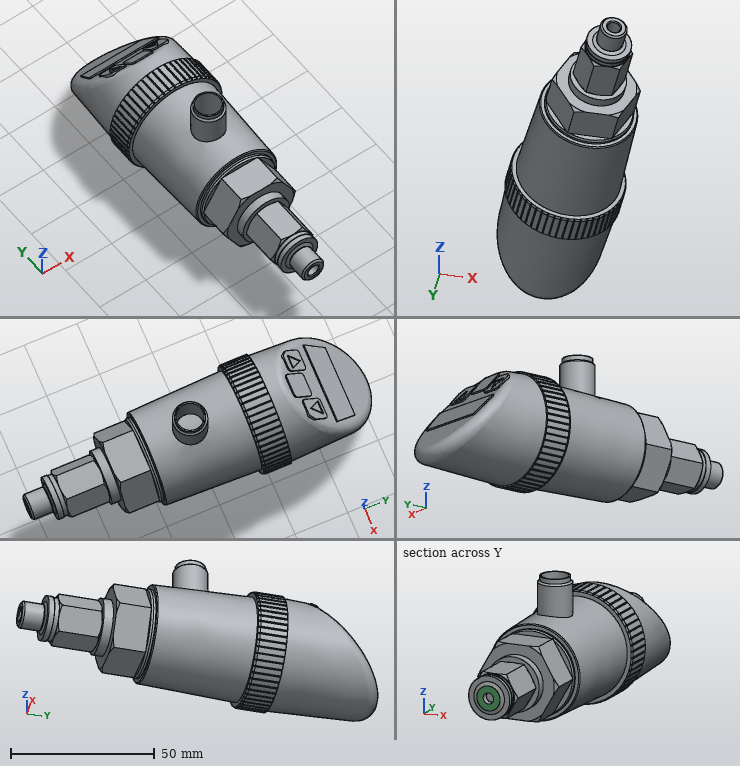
import cadquery as cq
import math

LENGTH = 128.7

STUD_RADIUS = 4.8
STUD_CHAMFER = 0.6
STUD_END = 7.6
UNDERCUT_RADIUS = 4.5
UNDERCUT_END = 8.0
PORT_MOUTH_RADIUS = 2.7
PORT_RADIUS = 2.3
PORT_STEP_DEPTH = 7.7
PORT_INNER_RADIUS = 1.9
PORT_DEPTH = 10.3

FLANGE_START = 8.5
FLANGE_ROOT_RADIUS = 5.9
FLANGE_RADIUS = 8.0
FLANGE_END = 10.5
RELIEF_RADIUS = 7.7
SMALL_HEX_START = 12.2
SMALL_HEX_FLATS = 16.0
SMALL_HEX_FACE_RADIUS = 8.0
SMALL_HEX_END = 27.8
COLLAR_RADIUS = 10.0
LARGE_HEX_START = 31.1
LARGE_HEX_FLATS = 27.3
LARGE_HEX_FACE_RADIUS = 14.3
LARGE_HEX_END = 43.4
HEX_CHAMFER_ANGLE = 30.0
WASHER_RADIUS = 15.8
WASHER_FACE_RADIUS = 15.5
WASHER_EDGE = 44.1

HOUSING_START = 44.9
HOUSING_START_RADIUS = 17.5
HOUSING_CHAMFER = 0.4

RING_START = 80.8
RING_END = 91.4
RING_RADIUS = 20.6
RING_CHAMFER_LENGTH = 0.8
RING_CHAMFER_DEPTH = 0.4
HOUSING_END_RADIUS = 18.7
GROOVE_COUNT = 54
GROOVE_WIDTH = 0.4
GROOVE_DEPTH = 0.4
WIDE_RIB_ANGLE = 8.0
GROOVE_PITCH = (360.0 - WIDE_RIB_ANGLE) / (GROOVE_COUNT - 1)

HEAD_START_RADIUS = 20.0
HEAD_TIP_RADIUS = 18.4
FACE_ANGLE = 47.2
FACE_FILLET = 3.3

HEAD_TAPER = (HEAD_START_RADIUS - HEAD_TIP_RADIUS) / (LENGTH - RING_END)
FACE_SLOPE = math.radians(FACE_ANGLE)
FACE_NORMAL = cq.Vector(0, math.sin(FACE_SLOPE), math.cos(FACE_SLOPE))
ALONG_FACE_NORMAL = cq.selectors.ParallelDirSelector(FACE_NORMAL)

TIP_CENTER_Y = LENGTH - FACE_FILLET
TIP_CENTER_DROP = HEAD_TIP_RADIUS + HEAD_TAPER * FACE_FILLET - FACE_FILLET * math.hypot(1, HEAD_TAPER)
FACE_AXIS_Y = TIP_CENTER_Y + (FACE_FILLET - TIP_CENTER_DROP * FACE_NORMAL.z) / FACE_NORMAL.y

PANEL_HEIGHT = 0.5
PANEL_ROOT = 1.9
WINDOW_TOP = 3.3
WINDOW_TOP_HALF_WIDTH = 13.3
WINDOW_BOTTOM = -7.5
WINDOW_BOTTOM_HALF_WIDTH = 15.0
MODE_WIDTH = 9.0
MODE_LENGTH = 9.5
MODE_CENTER = -19.5
ARROW_KEY_WIDTH = 7.9
ARROW_KEY_LENGTH = 9.4
ARROW_KEY_OFFSET = 9.5
ARROW_KEY_CENTER = -16.5
KEY_CORNER_RADIUS = 1.3
KEY_CUT_WIDTH = 1.7
KEY_CUT_LENGTH = 2.6
ARROW_OFFSET = 9.1
ARROW_HALF_WIDTH = 2.5
ARROW_LENGTH = 5.4
ARROW_SHIFT = 0.6
ARROW_CENTER = ARROW_KEY_CENTER + ARROW_SHIFT
ARROW_DEPTH = 0.4

CONNECTOR_Y = 61.6
CONNECTOR_RADIUS = 6.2
CONNECTOR_SHOULDER = 28.7
CONNECTOR_NECK_RADIUS = 5.4
CONNECTOR_NECK_START = 29.3
CONNECTOR_TOP = 31.0
CONNECTOR_BORE_RADIUS = 4.9


def revolve_about_y(points):
    """Turn (radius, y) points, closed along the axis, into a solid of revolution about Y."""
    outline = [(0, points[0][1])] + points + [(0, points[-1][1])]
    return cq.Workplane("XY").polyline(outline).close().revolve(360, (0, 0, 0), (0, 1, 0))


def hexagon(flats, start, end, face_radius, chamfer_both_ends):
    """Hexagonal prism along Y with two flats facing up and down and chamfered corners."""
    corner_radius = flats / math.sqrt(3)
    chamfer = (corner_radius - face_radius) * math.tan(math.radians(HEX_CHAMFER_ANGLE))
    prism = (
        cq.Workplane("XZ", origin=(0, start, 0))
        .polygon(6, 2 * corner_radius)
        .extrude(start - end)
    )
    envelope = [(face_radius, start), (corner_radius, start + chamfer)]
    if chamfer_both_ends:
        envelope += [(corner_radius, end - chamfer), (face_radius, end)]
    else:
        envelope += [(corner_radius, end)]
    return prism.intersect(revolve_about_y(envelope))


def make_fitting():
    stud = revolve_about_y([
        (STUD_RADIUS - STUD_CHAMFER, 0),
        (STUD_RADIUS, STUD_CHAMFER),
        (STUD_RADIUS, STUD_END),
        (UNDERCUT_RADIUS, UNDERCUT_END),
        (FLANGE_ROOT_RADIUS, FLANGE_START),
        (FLANGE_RADIUS, FLANGE_START),
        (FLANGE_RADIUS, FLANGE_END),
        (RELIEF_RADIUS, FLANGE_END),
        (RELIEF_RADIUS, SMALL_HEX_START),
    ])
    collar = revolve_about_y([(COLLAR_RADIUS, SMALL_HEX_END), (COLLAR_RADIUS, LARGE_HEX_START)])
    small_hex = hexagon(SMALL_HEX_FLATS, SMALL_HEX_START, SMALL_HEX_END, SMALL_HEX_FACE_RADIUS, True)
    large_hex = hexagon(LARGE_HEX_FLATS, LARGE_HEX_START, LARGE_HEX_END, LARGE_HEX_FACE_RADIUS, False)
    port = revolve_about_y([
        (PORT_MOUTH_RADIUS, 0),
        (PORT_RADIUS, PORT_MOUTH_RADIUS - PORT_RADIUS),
        (PORT_RADIUS, PORT_STEP_DEPTH),
        (PORT_INNER_RADIUS, PORT_STEP_DEPTH),
        (PORT_INNER_RADIUS, PORT_DEPTH),
    ])
    return stud.cut(port).union(small_hex).union(collar).union(large_hex)


def make_housing():
    return revolve_about_y([
        (WASHER_FACE_RADIUS, LARGE_HEX_END),
        (WASHER_RADIUS, WASHER_EDGE),
        (WASHER_RADIUS, HOUSING_START),
        (HOUSING_START_RADIUS - HOUSING_CHAMFER, HOUSING_START),
        (HOUSING_START_RADIUS, HOUSING_START + HOUSING_CHAMFER),
        (HOUSING_END_RADIUS, RING_START),
    ])


def make_ring():
    """Ring with narrow grooves at equal pitch, leaving one wider rib beside the top line."""
    ring = revolve_about_y([
        (RING_RADIUS - RING_CHAMFER_DEPTH, RING_START),
        (RING_RADIUS, RING_START + RING_CHAMFER_LENGTH),
        (RING_RADIUS, RING_END),
    ])
    ring_middle = (RING_START + RING_END) / 2
    groove = cq.Workplane("XY").box(GROOVE_WIDTH, RING_END - RING_START, 2 * GROOVE_DEPTH).val()
    groove = groove.translate(cq.Vector(0, ring_middle, RING_RADIUS))
    grooves = [
        groove.rotate(cq.Vector(0, 0, 0), cq.Vector(0, 1, 0), WIDE_RIB_ANGLE + i * GROOVE_PITCH)
        for i in range(GROOVE_COUNT)
    ]
    return ring.cut(cq.Workplane(cq.Compound.makeCompound(grooves)))


def face_plane(height=0.0):
    """Plane parallel to the display face, raised by a height; its Y direction points to the tip."""
    origin = cq.Vector(0, FACE_AXIS_Y, 0) + FACE_NORMAL * height
    return cq.Workplane(cq.Plane(origin=origin, xDir=(1, 0, 0), normal=FACE_NORMAL))


def make_head():
    blank_end = LENGTH + HEAD_TIP_RADIUS
    blank_end_radius = HEAD_TIP_RADIUS * (1 - HEAD_TAPER)
    cut_size = 2 * LENGTH
    blank = revolve_about_y([(HEAD_START_RADIUS, RING_END), (blank_end_radius, blank_end)])
    head = blank.cut(face_plane().rect(cut_size, cut_size).extrude(cut_size))
    return head.faces(ALONG_FACE_NORMAL).edges().fillet(FACE_FILLET)


def panel(sketch):
    """Raise an outline drawn below the display face to the panel height above it."""
    return sketch.extrude(PANEL_HEIGHT + PANEL_ROOT)


def make_window():
    corners = [
        (-WINDOW_TOP_HALF_WIDTH, WINDOW_TOP),
        (WINDOW_TOP_HALF_WIDTH, WINDOW_TOP),
        (WINDOW_BOTTOM_HALF_WIDTH, WINDOW_BOTTOM),
        (-WINDOW_BOTTOM_HALF_WIDTH, WINDOW_BOTTOM),
    ]
    return panel(face_plane(-PANEL_ROOT).polyline(corners).close())


def make_mode_key():
    outline = face_plane(-PANEL_ROOT).center(0, MODE_CENTER).rect(MODE_WIDTH, MODE_LENGTH)
    return panel(outline).edges(ALONG_FACE_NORMAL).fillet(KEY_CORNER_RADIUS)


def make_arrow_key(side, points_to_tip):
    """Key on one side (-1 left, 1 right) with a cut outer corner and an engraved triangle."""
    center = side * ARROW_KEY_OFFSET
    inner = center - side * ARROW_KEY_WIDTH / 2
    outer = center + side * ARROW_KEY_WIDTH / 2
    top = ARROW_KEY_CENTER + ARROW_KEY_LENGTH / 2
    bottom = ARROW_KEY_CENTER - ARROW_KEY_LENGTH / 2
    corners = [
        (inner, top),
        (outer, top),
        (outer, bottom + KEY_CUT_LENGTH),
        (outer - side * KEY_CUT_WIDTH, bottom),
        (inner, bottom),
    ]
    key = panel(face_plane(-PANEL_ROOT).polyline(corners).close())
    key = key.edges(ALONG_FACE_NORMAL).fillet(KEY_CORNER_RADIUS)

    arrow_x = side * ARROW_OFFSET
    half_length = ARROW_LENGTH / 2 if points_to_tip else -ARROW_LENGTH / 2
    triangle = [
        (arrow_x, ARROW_CENTER + half_length),
        (arrow_x - ARROW_HALF_WIDTH, ARROW_CENTER - half_length),
        (arrow_x + ARROW_HALF_WIDTH, ARROW_CENTER - half_length),
    ]
    engraving = face_plane(PANEL_HEIGHT).polyline(triangle).close().extrude(-ARROW_DEPTH)
    return key.cut(engraving)


def make_connector():
    """Open tube standing on the housing, with a narrower neck at its top."""
    half_section = [
        (CONNECTOR_BORE_RADIUS, 0),
        (CONNECTOR_RADIUS, 0),
        (CONNECTOR_RADIUS, CONNECTOR_SHOULDER),
        (CONNECTOR_NECK_RADIUS, CONNECTOR_NECK_START),
        (CONNECTOR_NECK_RADIUS, CONNECTOR_TOP),
        (CONNECTOR_BORE_RADIUS, CONNECTOR_TOP),
    ]
    tube = cq.Workplane("XZ").polyline(half_section).close().revolve(360, (0, 0, 0), (0, 1, 0))
    return tube.translate((0, CONNECTOR_Y, 0))


result = make_fitting()
features = [
    make_housing(),
    make_ring(),
    make_head(),
    make_window(),
    make_mode_key(),
    make_arrow_key(-1, True),
    make_arrow_key(1, False),
    make_connector(),
]
for feature in features:
    result = result.union(feature)